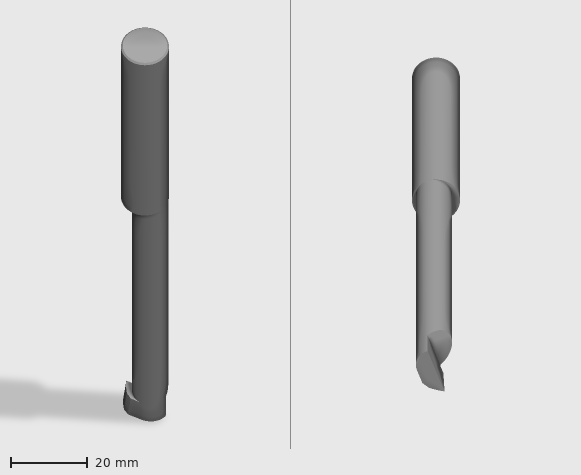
import cadquery as cq
import math

total_length = 152.4
shank_diameter = 12.5
shank_length = 63.7
shank_chamfer = 0.5

neck_diameter = 9.5
neck_radius = neck_diameter / 2
neck_x = (shank_diameter - neck_diameter) / 2
shank_bottom = total_length - shank_length

relief_bottom = 8.7
relief_top = 12.8

head_height = 8.1
tip_x = -6.4
head_lean = 0.9
heel_x = -2.6
flank_x = -4.3
flank_y = -3.7
flank_bulge = 0.2

end_rise_x = 0.5
end_rise_y = 0.8
cut_margin = 7.6
cut_width = 45.7


def make_shank():
    shank = cq.Workplane("XY").workplane(offset=shank_bottom).circle(shank_diameter / 2).extrude(shank_length)
    return shank.faces(">Z").chamfer(shank_chamfer)


def make_neck():
    neck = cq.Workplane("XY").center(neck_x, 0).circle(neck_radius).extrude(shank_bottom)
    relief_depth = neck_radius + cut_margin
    slope = (relief_top - relief_bottom) / neck_radius
    relief = (
        cq.Workplane("YZ")
        .moveTo(0, -cut_margin)
        .lineTo(0, relief_bottom)
        .lineTo(relief_depth, relief_bottom + slope * relief_depth)
        .lineTo(relief_depth, -cut_margin)
        .close()
        .extrude(shank_diameter, both=True)
    )
    return neck.cut(relief)


def head_outline(plane, shift):
    """Draw the head section with its flank moved by shift along X."""
    chord_x = tip_x - flank_x
    chord_y = -flank_y
    chord = math.hypot(chord_x, chord_y)
    middle_x = (tip_x + flank_x) / 2 - flank_bulge * chord_y / chord
    middle_y = flank_y / 2 + flank_bulge * chord_x / chord
    return (
        plane.moveTo(neck_x, 0)
        .lineTo(neck_x, -neck_radius)
        .lineTo(heel_x + shift, -neck_radius)
        .lineTo(flank_x + shift, flank_y)
        .threePointArc((middle_x + shift, middle_y), (tip_x + shift, 0))
        .close()
    )


def make_head():
    bottom = head_outline(cq.Workplane("XY"), 0)
    top = head_outline(bottom.workplane(offset=head_height), head_lean)
    return top.loft(ruled=True, combine=True)


def make_end_cut():
    """Block whose upper face is the sloping end face, passing through the tip."""
    slope_x = end_rise_x / (shank_diameter / 2 - tip_x)
    slope_y = -end_rise_y / neck_radius
    end_plane = cq.Plane(origin=(tip_x, 0, 0), xDir=(1, 0, slope_x), normal=(-slope_x, -slope_y, 1))
    return cq.Workplane(end_plane).rect(cut_width, cut_width).extrude(-cut_margin)


result = make_shank().union(make_neck()).union(make_head()).cut(make_end_cut())